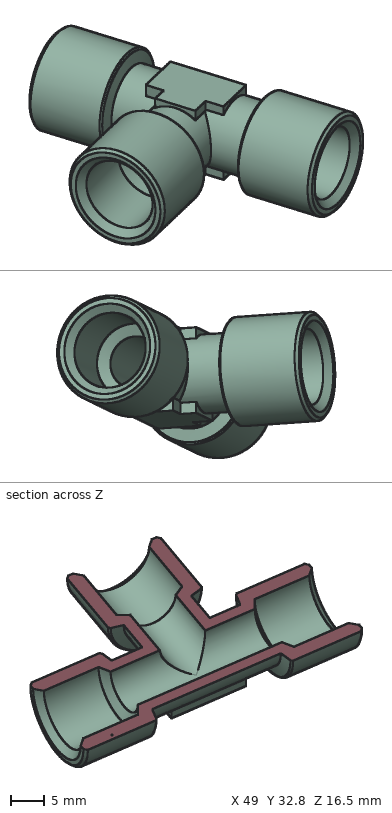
import cadquery as cq
import math

run_length = 49.0
arm_length = run_length / 2
pipe_radius = 6.0
bore_radius = 3.95

collar_radius = 16.5 / 2
collar_length = 13.25
collar_chamfer = 0.5
shoulder_length = 0.8
shoulder_chamfer = 0.3

socket_radius = 5.75
socket_depth = 10.8
mouth_radius = 6.9
mouth_angle = 45.0
drill_angle = 59.0

pad_half_width = 6.55
pad_half_height = 6.55
pad_back = 3.68
pad_front_left = 3.8
pad_front_right = 3.25
pad_stem_half_width = 3.5
pad_stem_reach = 6.35


def revolve_along_branch(profile):
    """Revolve (radius, distance from junction) points about the branch axis, pointing to -Y."""
    points = [(radius, -distance) for radius, distance in profile]
    return cq.Workplane("XY").polyline(points).close().revolve(360, (0, 0, 0), (0, 1, 0))


def arm_body():
    shoulder_start = arm_length - collar_length
    shoulder_end = shoulder_start + shoulder_length
    return revolve_along_branch([
        (0, 0),
        (pipe_radius, 0),
        (pipe_radius, shoulder_start),
        (collar_radius - shoulder_chamfer, shoulder_end - shoulder_chamfer),
        (collar_radius, shoulder_end),
        (collar_radius, arm_length - collar_chamfer),
        (collar_radius - collar_chamfer, arm_length),
        (0, arm_length),
    ])


def arm_cavity():
    mouth_depth = (mouth_radius - socket_radius) / math.tan(math.radians(mouth_angle))
    drill_depth = (socket_radius - bore_radius) / math.tan(math.radians(drill_angle))
    socket_bottom = arm_length - socket_depth
    return revolve_along_branch([
        (0, 0),
        (bore_radius, 0),
        (bore_radius, socket_bottom - drill_depth),
        (socket_radius, socket_bottom),
        (socket_radius, arm_length - mouth_depth),
        (mouth_radius, arm_length),
        (0, arm_length),
    ])


def three_arms(arm):
    """Repeat a branch shape towards -X, -Y and +X."""
    arms = arm
    for turn in (-90, 90):
        arms = arms.union(arm.rotate((0, 0, 0), (0, 0, 1), turn))
    return arms


def wrench_pads():
    """T-shaped block whose two ends stand proud of the pipes as flat pads."""
    outline = [
        (-pad_half_width, pad_back),
        (pad_half_width, pad_back),
        (pad_half_width, -pad_front_right),
        (pad_stem_half_width, -pad_front_right),
        (pad_stem_half_width, -pad_stem_reach),
        (-pad_stem_half_width, -pad_stem_reach),
        (-pad_stem_half_width, -pad_front_left),
        (-pad_half_width, -pad_front_left),
    ]
    return cq.Workplane("XY").polyline(outline).close().extrude(pad_half_height, both=True)


def run_core(radius):
    """Cylinder along X that completes the run behind the junction."""
    return cq.Workplane("YZ").circle(radius).extrude(pad_half_width, both=True)


body = three_arms(arm_body()).union(run_core(pipe_radius)).union(wrench_pads())
cavity = three_arms(arm_cavity()).union(run_core(bore_radius))
result = body.cut(cavity)